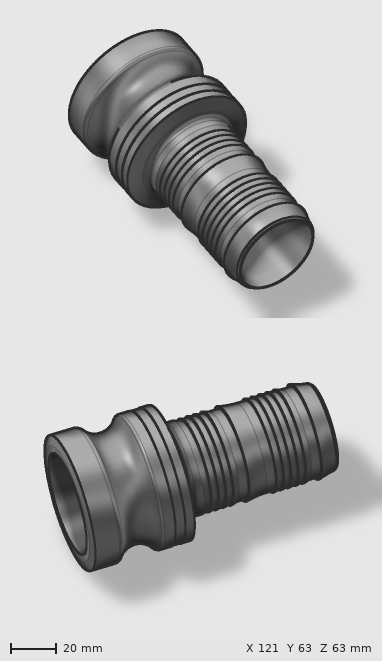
import cadquery as cq
import math

length = 121.0

head_radius = 63.0 / 2
face_radius = 53.8 / 2
nose_length = 1.1
flange_end = 48.3

cam_groove_x = 23.6
cam_groove_radius = 11.1
cam_groove_floor_radius = 26.0
front_rim_blend = 2.7
rear_rim_blend = 1.7

band_start = 39.2
band_end = 43.9
band_radius = 62.5 / 2

flange_back_end = 50.3
neck_radius = 43.5 / 2
neck_blend = 2.8

core_radius = 42.0 / 2
barb_radius = neck_radius
barb_length = 3.0
barb_pitch = 3.5
barb_count = 5
barb_group_starts = (56.5, 90.9)
ridge_radius = 22.1
ridge_start = 77.9
ridge_length = 8.5
tip_ridge_start = 112.3
tip_radius = 20.3
tip_chamfer_length = 1.1
tip_chamfer_depth = 0.8
ridge_sag = 0.2

mouth_radius = 47.1 / 2
bore_radius = 38.0 / 2
mouth_depth = 25.4


def cam_groove(profile):
    """Cut the round groove, tangent to a convex blend at either rim."""
    center_radius = cam_groove_floor_radius + cam_groove_radius

    def rim_points(blend, side):
        rise = center_radius - (head_radius - blend)
        reach = cam_groove_radius + blend
        blend_x = cam_groove_x + side * math.sqrt(reach**2 - rise**2)
        share = cam_groove_radius / reach
        outer = (blend_x, head_radius)
        inner = (cam_groove_x + share * (blend_x - cam_groove_x), center_radius - share * rise)
        half_angle = math.atan2(blend_x - cam_groove_x, rise) / 2
        middle = (
            blend_x - blend * math.sin(half_angle),
            head_radius - blend * (1 - math.cos(half_angle)),
        )
        return outer, middle, inner

    front_outer, front_middle, front_inner = rim_points(front_rim_blend, -1)
    rear_outer, rear_middle, rear_inner = rim_points(rear_rim_blend, 1)
    profile = profile.lineTo(*front_outer).threePointArc(front_middle, front_inner)
    profile = profile.threePointArc((cam_groove_x, cam_groove_floor_radius), rear_inner)
    return profile.threePointArc(rear_middle, rear_outer)


def flange_band(profile):
    """Step down to the recessed band and back up."""
    profile = profile.lineTo(band_start, head_radius).lineTo(band_start, band_radius)
    return profile.lineTo(band_end, band_radius).lineTo(band_end, head_radius)


def flange_back(profile):
    """Slope down from the flange and round into the neck with a quarter arc."""
    blend_end_x = flange_back_end + neck_blend
    blend_center_radius = neck_radius + neck_blend
    diagonal = neck_blend * math.sqrt(0.5)
    blend_middle = (blend_end_x - diagonal, blend_center_radius - diagonal)
    profile = profile.lineTo(flange_end, head_radius).lineTo(flange_back_end, blend_center_radius)
    return profile.threePointArc(blend_middle, (blend_end_x, neck_radius))


def barb_group(profile, group_start, approach_radius):
    """Add a row of small sawtooth barbs tapering toward the tip."""
    for index in range(barb_count):
        start = group_start + index * barb_pitch
        root_radius = approach_radius if index == 0 else core_radius
        profile = profile.lineTo(start, root_radius)
        if root_radius < barb_radius:
            profile = profile.lineTo(start, barb_radius)
        profile = profile.lineTo(start + barb_length, core_radius)
    return profile


def large_ridge(profile, start, end, end_radius):
    """Add a hose-retaining ridge with a slightly hollow taper."""
    middle = ((start + end) / 2, (ridge_radius + end_radius) / 2 - ridge_sag)
    profile = profile.lineTo(start, core_radius).lineTo(start, ridge_radius)
    return profile.threePointArc(middle, (end, end_radius))


def adapter():
    profile = cq.Workplane("XY").moveTo(0, mouth_radius).lineTo(0, face_radius)
    profile = profile.lineTo(nose_length, head_radius)
    profile = cam_groove(profile)
    profile = flange_band(profile)
    profile = flange_back(profile)

    first_group, second_group = barb_group_starts
    profile = barb_group(profile, first_group, neck_radius)
    profile = large_ridge(profile, ridge_start, ridge_start + ridge_length, core_radius)
    profile = barb_group(profile, second_group, core_radius)
    profile = large_ridge(profile, tip_ridge_start, length - tip_chamfer_length, tip_radius)
    profile = profile.lineTo(length, tip_radius - tip_chamfer_depth)

    profile = profile.lineTo(length, bore_radius).lineTo(mouth_depth, bore_radius).close()
    return profile.revolve(360, (0, 0, 0), (1, 0, 0))


result = adapter()